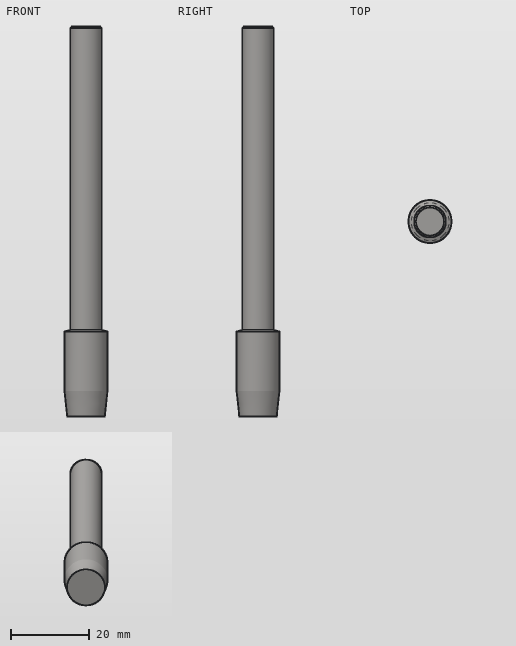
import cadquery as cq

total_length = 100.0

head_diameter = 11.1
tip_diameter = 9.7
barrel_top = 21.8
taper_length = 6.6
shoulder_rise = 0.4
head_length = barrel_top + shoulder_rise

shank_diameter = 8.2
shank_edge_chamfer = 0.5


def make_head():
    """Solid of revolution about Z whose shoulder slopes up to the shank."""
    head_radius = head_diameter / 2
    profile = (
        cq.Workplane("XZ")
        .lineTo(tip_diameter / 2, 0)
        .lineTo(head_radius, taper_length)
        .lineTo(head_radius, barrel_top)
        .lineTo(shank_diameter / 2, head_length)
        .lineTo(0, head_length)
        .close()
    )
    return profile.revolve(360, (0, 0, 0), (0, 1, 0))


def make_shank():
    """Round rod from the top of the head upward, chamfered at its free end."""
    shank = (
        cq.Workplane("XY", origin=(0, 0, head_length))
        .circle(shank_diameter / 2)
        .extrude(total_length - head_length)
    )
    return shank.faces(">Z").edges().chamfer(shank_edge_chamfer)


head = make_head()
shank = make_shank()

result = cq.Compound.makeCompound([head.val(), shank.val()])